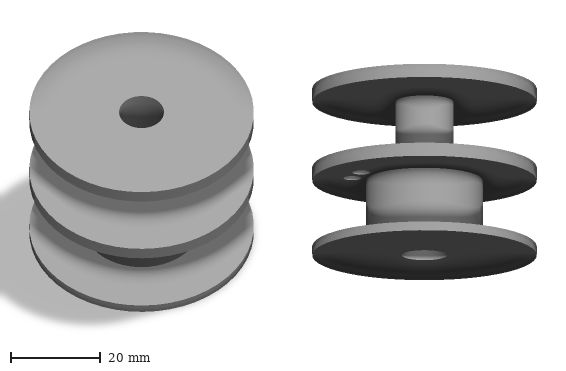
import cadquery as cq

flange_diameter = 50
base_flange_thickness = 2
flange_thickness = 3

lower_hub_diameter = 26
upper_hub_diameter = 13
hub_length = 15

bore_diameter = 10
small_hole_diameter = 4
small_hole_x = -16
small_hole_spacing = 6

sections = [
    (flange_diameter, base_flange_thickness),
    (lower_hub_diameter, hub_length),
    (flange_diameter, flange_thickness),
    (upper_hub_diameter, hub_length),
    (flange_diameter, flange_thickness),
]
total_height = sum(length for _, length in sections)
middle_flange_bottom = base_flange_thickness + hub_length


def cylinder(diameter, length, bottom, x=0, y=0):
    """Vertical cylinder with its lower face at the given height."""
    return cq.Workplane("XY", origin=(x, y, bottom)).circle(diameter / 2).extrude(length)


def spool_body():
    """Solid stack of flanges and hubs on the Z axis."""
    body = cq.Workplane("XY")
    bottom = 0
    for diameter, length in sections:
        body = body.add(cylinder(diameter, length, bottom))
        bottom += length
    return body.combine()


result = spool_body().cut(cylinder(bore_diameter, total_height, 0))

for side in (-1, 1):
    hole_y = side * small_hole_spacing / 2
    small_hole = cylinder(
        small_hole_diameter, flange_thickness, middle_flange_bottom, small_hole_x, hole_y
    )
    result = result.cut(small_hole)